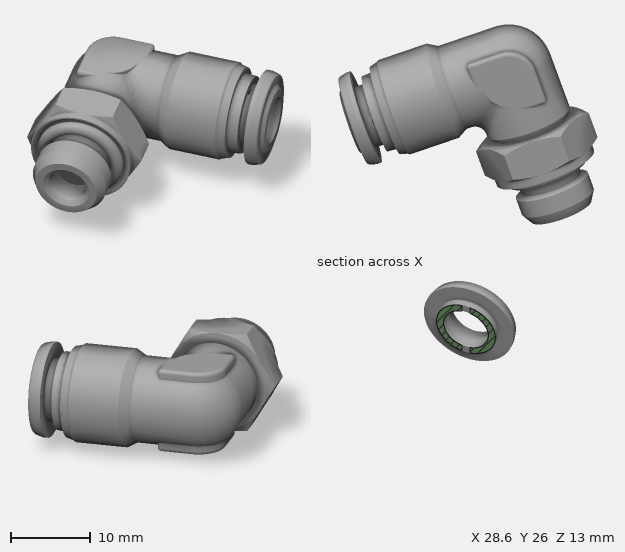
import cadquery as cq
import math


elbow_radius = 5.5
crotch_fillet = 1.5
elbow_end = 8.0
elbow_end_chamfer_length = 0.6
elbow_end_chamfer_depth = 0.4

pad_radius = 3.5
pad_reach = 4.5
pad_edge_radius = 0.5

collar_radius = 6.25
collar_start = 7.5
collar_full = 8.8
collar_end = 15.25
collar_end_chamfer_length = 0.25
cap_radius = 6.06
cap_end_radius = 5.82
cap_end = 16.45
sleeve_radius = 5.08
sleeve_end_radius = 4.98
sleeve_end = 17.83
collet_radius = 4.02
flange_start = 19.03
flange_straight_end = 19.57
flange_taper_end = 20.5
flange_end = 20.65
flange_face_radius = 5.7
nose_radius = 4.6
port_end = 21.1
tube_bore_radius = 3.0
slot_width = 1.03
slot_length = 0.25

neck_radius = 4.7
hex_start = 8.28
hex_end = 12.75
hex_across_flats = 13.0
hex_corner_radius = hex_across_flats / 2 / math.cos(math.radians(30))
hex_chamfer_angle = 30
seal_flange_radius = hex_across_flats / 2
seal_flange_end = 13.77
oring_center_radius = 4.8
oring_wire_radius = 0.8
recess_mouth_radius = 6.3
recess_floor_radius = oring_center_radius + oring_wire_radius
recess_depth = 0.7
undercut_radius = oring_center_radius - oring_wire_radius
undercut_end = 15.8
thread_radius = 4.8
thread_start = 16.2
thread_straight_end = 18.4
thread_tip_radius = 4.0
stud_end = 19.75
stud_bore_radius = 2.5
stud_bore_depth = 3.5
stud_bore_mouth_radius = 3.0
stud_bore_mouth_chamfer = 0.5


def turned_about_x(profile):
    """Revolve (station, radius) points about the tube port axis."""
    points = [(profile[0][0], 0), *profile, (profile[-1][0], 0)]
    return cq.Workplane("XY").polyline(points).close().revolve(360, (0, 0), (1, 0))


def turned_about_y(profile):
    """Revolve (station, radius) points about the stud axis, stations running towards -Y."""
    outline = [(profile[0][0], 0), *profile, (profile[-1][0], 0)]
    points = [(radius, -station) for station, radius in outline]
    return cq.Workplane("XY").polyline(points).close().revolve(360, (0, 0), (0, 1))


def make_elbow():
    """Two equal barrels meeting in a ball corner, with a fillet in the inner crotch."""
    port_barrel = turned_about_x([(0, elbow_radius), (collar_start, elbow_radius)])
    stud_barrel = turned_about_y([
        (0, elbow_radius),
        (elbow_end - elbow_end_chamfer_length, elbow_radius),
        (elbow_end, elbow_radius - elbow_end_chamfer_depth),
    ])
    body = port_barrel.union(stud_barrel).union(cq.Workplane("XY").sphere(elbow_radius))
    for pad in (make_pad(), make_pad().mirror("XY")):
        body = body.union(pad)
    crotch = cq.selectors.BoxSelector(
        (elbow_radius / 2, -elbow_radius * 1.1, -elbow_radius),
        (elbow_radius * 1.1, -elbow_radius / 2, elbow_radius),
    )
    return body.edges(crotch).fillet(crotch_fillet)


def make_pad():
    """Flat pad with rounded outer edges, level with the top of the elbow."""
    diagonal = pad_radius * math.sqrt(0.5)
    pad = (
        cq.Workplane("XY")
        .moveTo(pad_reach, 0)
        .lineTo(pad_reach, pad_radius)
        .lineTo(0, pad_radius)
        .threePointArc((-diagonal, diagonal), (-pad_radius, 0))
        .lineTo(-pad_radius, -pad_reach)
        .lineTo(0, -pad_reach)
        .lineTo(0, -pad_radius)
        .threePointArc((diagonal, -diagonal), (pad_radius, 0))
        .close()
        .extrude(elbow_radius)
    )
    for corner in ((pad_reach, pad_radius), (-pad_radius, -pad_reach)):
        nearest = cq.selectors.NearestToPointSelector((*corner, elbow_radius / 2))
        pad = pad.edges(nearest).fillet(pad_edge_radius)
    rim_seed = cq.selectors.NearestToPointSelector((-diagonal, diagonal, elbow_radius))
    return pad.edges(rim_seed).fillet(pad_edge_radius)


def make_tube_port():
    """Collar, end cap, sleeve and release collet."""
    return turned_about_x([
        (collar_start, elbow_radius),
        (collar_full, collar_radius),
        (collar_end, collar_radius),
        (collar_end + collar_end_chamfer_length, cap_radius),
        (cap_end, cap_end_radius),
        (cap_end, sleeve_radius),
        (sleeve_end, sleeve_end_radius),
        (sleeve_end, collet_radius),
        (flange_start, collet_radius),
        (flange_start, cap_radius),
        (flange_straight_end, cap_radius),
        (flange_taper_end, cap_end_radius),
        (flange_end, flange_face_radius),
        (flange_end, nose_radius),
        (port_end, collet_radius),
    ])


def make_port_cuts():
    """Blind tube bore plus the slot across the collet at its floor."""
    bore = turned_about_x([(sleeve_end, tube_bore_radius), (port_end, tube_bore_radius)])
    slot = (
        cq.Workplane("XY")
        .box(slot_length, slot_width, 2 * collar_radius, centered=(False, True, True))
        .translate((sleeve_end, 0, 0))
    )
    return bore.union(slot)


def make_hexagon():
    """Hexagon with flats facing +Z and -Z, its corners chamfered at both ends."""
    prism = (
        cq.Workplane("XZ")
        .polygon(6, 2 * hex_corner_radius)
        .extrude(hex_end - hex_start)
        .translate((0, -hex_start, 0))
    )
    flat_radius = hex_across_flats / 2
    chamfer_length = (hex_corner_radius - flat_radius) * math.tan(math.radians(hex_chamfer_angle))
    envelope = turned_about_y([
        (hex_start, flat_radius),
        (hex_start + chamfer_length, hex_corner_radius),
        (hex_end - chamfer_length, hex_corner_radius),
        (hex_end, flat_radius),
    ])
    return prism.intersect(envelope)


def make_seal_flange():
    """Round flange with a conical recess that seats the O-ring."""
    flange = turned_about_y([(hex_end, seal_flange_radius), (seal_flange_end, seal_flange_radius)])
    recess = turned_about_y([
        (seal_flange_end - recess_depth, recess_floor_radius),
        (seal_flange_end, recess_mouth_radius),
    ])
    return flange.cut(recess)


def make_oring():
    """O-ring seated in the flange recess, around the undercut."""
    return (
        cq.Workplane("XY")
        .center(-oring_center_radius, -seal_flange_end)
        .circle(oring_wire_radius)
        .revolve(360, (oring_center_radius, 0), (oring_center_radius, 1))
    )


def make_threaded_end():
    """Neck, undercut and plain threaded end as one turned core."""
    return turned_about_y([
        (elbow_end, neck_radius),
        (hex_end, neck_radius),
        (hex_end, undercut_radius),
        (undercut_end, undercut_radius),
        (thread_start, thread_radius),
        (thread_straight_end, thread_radius),
        (stud_end, thread_tip_radius),
    ])


def make_stud_bore():
    """Blind bore with a chamfered mouth."""
    return turned_about_y([
        (stud_end - stud_bore_depth, stud_bore_radius),
        (stud_end - stud_bore_mouth_chamfer, stud_bore_radius),
        (stud_end, stud_bore_mouth_radius),
    ])


result = (
    make_elbow()
    .union(make_tube_port())
    .union(make_hexagon())
    .union(make_seal_flange())
    .union(make_threaded_end())
    .union(make_oring())
    .cut(make_port_cuts())
    .cut(make_stud_bore())
)